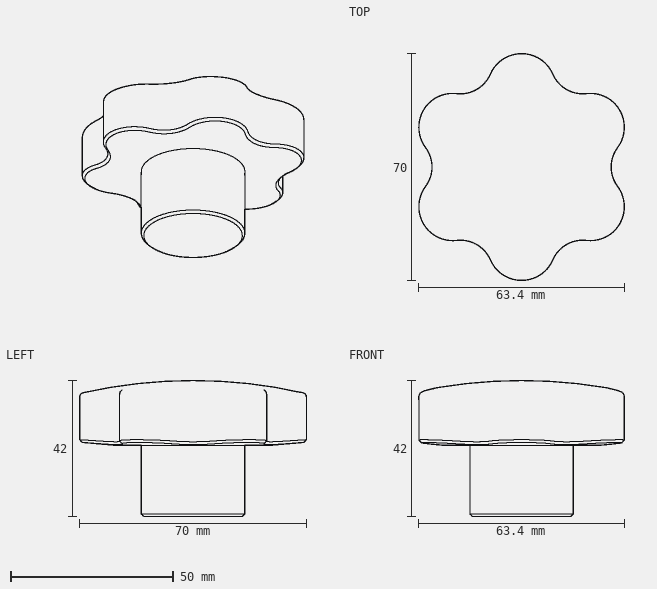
import cadquery as cq
import math

total_height = 42.0
neck_length = 22.0
neck_diameter = 32.0

lobe_count = 6
grip_radius = 35.0
lobe_radius = 10.5
valley_radius = 10.0
lobe_center_radius = grip_radius - lobe_radius

dome_radius = 155.0
underside_flat_radius = 24.5
underside_slope = 5.0

top_fillet = 1.5
underside_chamfer = 0.8
neck_chamfer = 0.8

lobe_pitch = 360.0 / lobe_count
half_pitch = lobe_pitch / 2
first_lobe_angle = 90.0

valley_center_radius = lobe_center_radius * math.cos(math.radians(half_pitch)) + math.sqrt(
    (lobe_radius + valley_radius) ** 2
    - (lobe_center_radius * math.sin(math.radians(half_pitch))) ** 2
)


def polar(radius, angle):
    """Point at a distance from the axis and an angle in degrees."""
    return (radius * math.cos(math.radians(angle)), radius * math.sin(math.radians(angle)))


def tangent_point(lobe_angle, valley_angle):
    """Point where a lobe arc runs smoothly into a valley arc."""
    lobe_x, lobe_y = polar(lobe_center_radius, lobe_angle)
    valley_x, valley_y = polar(valley_center_radius, valley_angle)
    share = lobe_radius / (lobe_radius + valley_radius)
    return (lobe_x + share * (valley_x - lobe_x), lobe_y + share * (valley_y - lobe_y))


def lobed_prism():
    """Full-height prism with the lobed grip outline."""
    outline = cq.Workplane("XY").moveTo(
        *tangent_point(first_lobe_angle, first_lobe_angle - half_pitch)
    )
    for index in range(lobe_count):
        lobe_angle = first_lobe_angle + index * lobe_pitch
        valley_angle = lobe_angle + half_pitch
        outline = outline.threePointArc(
            polar(grip_radius, lobe_angle), tangent_point(lobe_angle, valley_angle)
        )
        outline = outline.threePointArc(
            polar(valley_center_radius - valley_radius, valley_angle),
            tangent_point(lobe_angle + lobe_pitch, valley_angle),
        )
    return outline.close().extrude(total_height)


def grip_envelope():
    """Turned body with a domed top and a conical rim underneath."""
    rim_radius = grip_radius + lobe_radius
    rim_bottom = neck_length + (rim_radius - underside_flat_radius) * math.tan(
        math.radians(underside_slope)
    )

    def dome_height(radius):
        return total_height - dome_radius + math.sqrt(dome_radius**2 - radius**2)

    return (
        cq.Workplane("YZ")
        .moveTo(0, neck_length)
        .lineTo(underside_flat_radius, neck_length)
        .lineTo(rim_radius, rim_bottom)
        .lineTo(rim_radius, dome_height(rim_radius))
        .threePointArc((rim_radius / 2, dome_height(rim_radius / 2)), (0, total_height))
        .close()
        .revolve(360, (0, 0, 0), (0, 1, 0))
    )


def rim_edges(body, above):
    """Edges of the grip outline on its upper or lower side."""
    middle = (neck_length + total_height) / 2
    edges = []
    for wall in body.faces("%CYLINDER").vals():
        for edge in wall.Edges():
            if edge.geomType() != "LINE" and (edge.Center().z > middle) == above:
                edges.append(edge)
    return body.newObject(edges)


def make_grip():
    """Domed grip, rounded above and chamfered below."""
    grip = lobed_prism().intersect(grip_envelope())
    grip = rim_edges(grip, above=True).fillet(top_fillet)
    return rim_edges(grip, above=False).chamfer(underside_chamfer)


def make_neck():
    """Cylindrical neck under the grip, chamfered at its free end."""
    neck = cq.Workplane("XY").circle(neck_diameter / 2).extrude(neck_length)
    return neck.faces("<Z").edges().chamfer(neck_chamfer)


result = make_grip().union(make_neck())